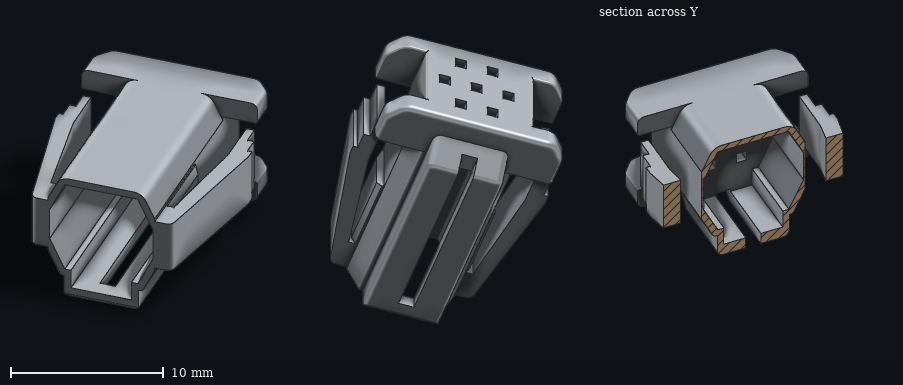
import cadquery as cq
import math

length = 16.05
half_height = 3.775
wall = 0.5
edge_radius = 0.5
bevel_angle = 51

barrel_half_width = 4.1
barrel_half_top = 2.86
barrel_half_side = 1.25
barrel_top_radius = 1.0
barrel_bottom_radius = 0.3
waist_half_width = 3.73

flange_thickness = 3.25
flange_half_width = 6.15
flange_front = length - flange_thickness
cavity_depth = flange_front
wing_height = 1.49
notch_half_height = half_height - wing_height
corner_bevel_width = 0.98
corner_bevel_length = corner_bevel_width * math.tan(math.radians(bevel_angle))
corner_radius = 1.0
notch_edge_radius = 0.17

key_half_width = 2.61
key_bottom = -5.525
key_front_chamfer = 0.39
key_floor = key_bottom + key_front_chamfer + wall
key_ramp_setback = 1.52
key_ramp_top = length - key_ramp_setback
key_ramp_run = (-half_height - key_bottom) / math.tan(math.radians(bevel_angle))
floor_slot_half_width = 0.535
floor_slot_rise = 0.17
floor_slot_top = key_floor + floor_slot_rise
floor_slot_front = 1.2

arm_outer_half_width = 6.75
arm_step_half_width = 6.44
arm_tip_half_width = 5.99
arm_inner_half_width = 5.42
arm_tip = 12.66
arm_upper_step = 11.33
arm_lower_step = 10.13
arm_outer_bend = 9.48
arm_inner_bend = 9.32
arm_root_length = 2.08
arm_root_inner_half_width = 4.3
arm_front_half_width = 4.9
arm_front_radius = 0.5
arm_root_half_height = 1.8
arm_tip_half_height = 1.85

rib_end = 7.5

hole_size = 0.75
hole_pitch = 2.2
row_pitch = 2.0
pattern_offset = 0.24


def block(x_range, y_range, z_range):
    """Box spanning the given (low, high) ranges."""
    lows, highs = zip(x_range, y_range, z_range)
    size = [high - low for low, high in zip(lows, highs)]
    return cq.Workplane("XY").box(*size, centered=False).translate(lows)


def octagon():
    """Sharp outline of the barrel in the XZ plane."""
    quarter = [(barrel_half_top, half_height), (barrel_half_width, barrel_half_side)]
    right = quarter + [(x, -z) for x, z in reversed(quarter)]
    left = [(-x, z) for x, z in reversed(right)]
    return cq.Workplane("XZ").polyline(right + left).close()


def make_barrel():
    """Octagonal bar with rounded corners, its flanks cut flat at the waist."""
    bar = octagon().extrude(-length).edges("|Y and >Z").fillet(barrel_top_radius)
    bar = bar.edges("|Y and <Z").fillet(barrel_bottom_radius)
    waist = block(
        (-waist_half_width, waist_half_width), (0, flange_front), (-half_height, half_height)
    )
    return bar.intersect(waist)


def select_notch_edges():
    """Wing edges beside the notches and the rear corners of the waist, without the inner corners."""
    margin = 0.01
    z_reach = notch_half_height + margin
    wings = cq.selectors.BoxSelector(
        (-flange_half_width - margin, flange_front + margin, -z_reach),
        (flange_half_width + margin, length + margin, z_reach),
    )
    inner_corners = cq.selectors.BoxSelector(
        (-waist_half_width - margin, flange_front - margin, -z_reach),
        (waist_half_width + margin, length - margin, z_reach),
    )
    return wings - inner_corners


def make_flange():
    """Rear flange with bevelled, rounded corners and a notch in each side that leaves four wings."""
    bevel_x = flange_half_width - corner_bevel_width
    bevel_y = length - corner_bevel_length
    plan = [
        (-flange_half_width, flange_front),
        (flange_half_width, flange_front),
        (flange_half_width, bevel_y),
        (bevel_x, length),
        (-bevel_x, length),
        (-flange_half_width, bevel_y),
    ]
    flange = cq.Workplane("XY").workplane(offset=-half_height).polyline(plan).close()
    flange = flange.extrude(2 * half_height)
    flange = flange.edges("|Z").edges("not <Y").fillet(corner_radius)
    flange = flange.faces(">Z or <Z").edges("not <Y").fillet(edge_radius)
    notch = block(
        (waist_half_width, flange_half_width),
        (flange_front, length),
        (-notch_half_height, notch_half_height),
    )
    flange = flange.cut(notch).cut(notch.mirror("YZ"))
    return flange.edges(select_notch_edges()).fillet(notch_edge_radius)


def make_key():
    """Key housing with rounded lower edges, a rear ramp and a flat chamfer at its front."""
    side = [
        (0, 0),
        (0, key_bottom),
        (key_ramp_top - key_ramp_run, key_bottom),
        (key_ramp_top, -half_height),
        (key_ramp_top, 0),
    ]
    key = cq.Workplane("YZ").workplane(offset=-key_half_width).polyline(side).close()
    key = key.extrude(2 * key_half_width)
    key = key.faces("<Z").edges(">Y").fillet(edge_radius)
    key = key.faces("<Z").edges("|Y").fillet(edge_radius)
    front_wedge = [
        (0, key_bottom),
        (key_front_chamfer, key_bottom),
        (0, key_bottom + key_front_chamfer),
    ]
    wedge = cq.Workplane("YZ").workplane(offset=-key_half_width).polyline(front_wedge).close()
    return key.cut(wedge.extrude(2 * key_half_width))


def make_rib():
    """Right-hand rib: the barrel corner left standing behind the arm root, with a bevelled end."""
    bar = octagon().extrude(-rib_end)
    end_bevel = barrel_half_width - waist_half_width
    plan = [
        (0, 0),
        (barrel_half_width, 0),
        (barrel_half_width, rib_end - end_bevel),
        (waist_half_width, rib_end),
        (0, rib_end),
    ]
    band = cq.Workplane("XY").workplane(offset=-arm_root_half_height).polyline(plan).close()
    return bar.intersect(band.extrude(2 * arm_root_half_height))


def make_arm():
    """Right-hand latch arm with its root on the barrel, growing slightly taller towards its tip."""
    plan = [
        (0, 0),
        (arm_front_half_width, 0),
        (arm_outer_half_width, arm_outer_bend),
        (arm_outer_half_width, arm_lower_step),
        (arm_step_half_width, arm_lower_step),
        (arm_step_half_width, arm_upper_step),
        (arm_tip_half_width, arm_upper_step),
        (arm_tip_half_width, arm_tip),
        (arm_inner_half_width, arm_tip),
        (arm_inner_half_width, arm_inner_bend),
        (arm_root_inner_half_width, arm_root_length),
        (0, arm_root_length),
    ]
    arm = cq.Workplane("XY").workplane(offset=-half_height).polyline(plan).close()
    arm = arm.extrude(2 * half_height)
    arm = arm.faces("<Y").edges(">X").fillet(arm_front_radius)
    side = [
        (0, -arm_root_half_height),
        (arm_root_length, -arm_root_half_height),
        (arm_tip, -arm_tip_half_height),
        (arm_tip, arm_tip_half_height),
        (arm_root_length, arm_root_half_height),
        (0, arm_root_half_height),
    ]
    envelope = cq.Workplane("YZ").polyline(side).close().extrude(arm_outer_half_width)
    return arm.intersect(envelope)


def make_cavity():
    """Octagonal socket with the key channel below it."""
    socket = octagon().offset2D(-wall, "intersection").extrude(-cavity_depth)
    channel_half_width = key_half_width - wall
    channel = block((-channel_half_width, channel_half_width), (0, cavity_depth), (key_floor, 0))
    return socket.union(channel)


def make_floor_slot():
    """Slot through the key floor, running out through the rear ramp."""
    return block(
        (-floor_slot_half_width, floor_slot_half_width),
        (floor_slot_front, length),
        (key_bottom, floor_slot_top),
    )


def make_contact_holes():
    """Seven square holes in rows of two, three and two."""
    centres = []
    for row, count in ((-1, 2), (0, 3), (1, 2)):
        for column in range(count):
            x = pattern_offset + (column - (count - 1) / 2) * hole_pitch
            centres.append((x, row * row_pitch))
    holes = cq.Workplane("XZ").pushPoints(centres).rect(hole_size, hole_size)
    return holes.extrude(-length)


result = make_barrel().union(make_flange()).union(make_key())
for side_feature in (make_arm(), make_rib()):
    result = result.union(side_feature).union(side_feature.mirror("YZ"))
for opening in (make_cavity(), make_contact_holes(), make_floor_slot()):
    result = result.cut(opening)